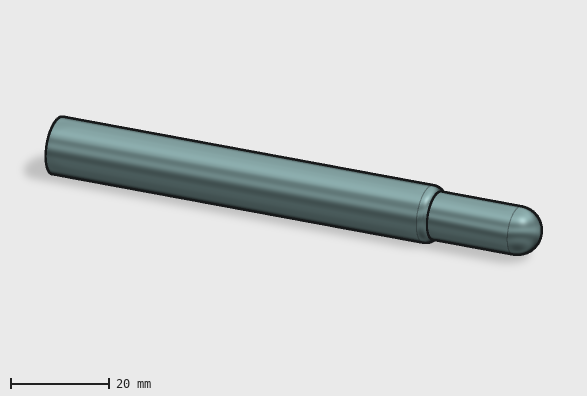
import cadquery as cq

total_length = 108.0
body_diameter = 12.0
nose_diameter = 10.0
body_length = 83.0
shoulder_length = 1.9

body_radius = body_diameter / 2
nose_radius = nose_diameter / 2
shoulder_end = body_length + shoulder_length
dome_start = total_length - nose_radius

shoulder_drop = body_radius - nose_radius
shoulder_radius = (shoulder_length**2 + shoulder_drop**2) / (2 * shoulder_drop)

profile = (
    cq.Workplane("XY")
    .lineTo(0, body_radius)
    .lineTo(body_length, body_radius)
    .radiusArc((shoulder_end, nose_radius), shoulder_radius)
    .lineTo(dome_start, nose_radius)
    .radiusArc((total_length, 0), nose_radius)
    .close()
)
pin = profile.revolve(360, (0, 0, 0), (1, 0, 0))
result = pin.translate((-total_length / 2, 0, 0))